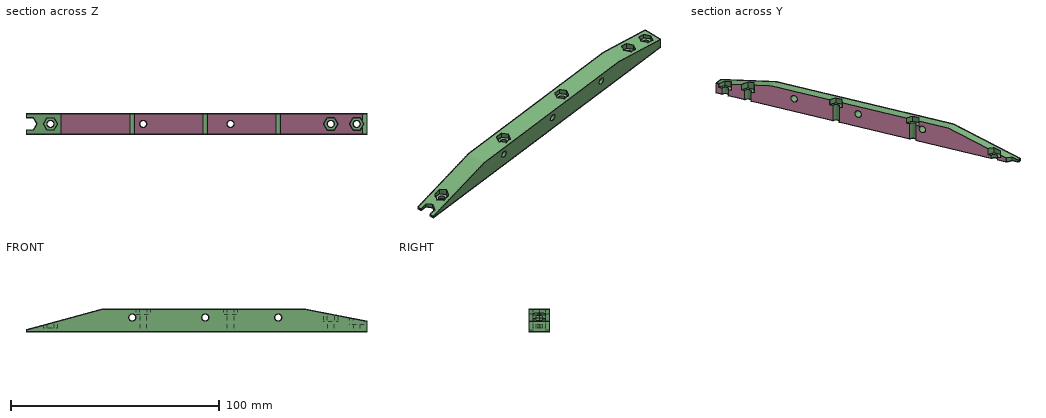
import cadquery as cq
import math

length = 163.7
width = 10.0
height = 11.0
left_end_height = 1.0
right_end_height = 5.0
left_slope_end = 36.7
right_slope_start = 133.5

hole_diameter = 3.3
nut_across_flats = 5.9
nut_across_corners = nut_across_flats / math.cos(math.pi / 6)
screw_places = [(11.6, 1.8), (56.1, 8.3), (98.0, 8.3), (146.2, 5.0), (158.6, 3.5)]

notch_width = 5.7
notch_depth = 5.0
notch_point_length = notch_width / 2 * math.tan(math.pi / 6)

cross_hole_middle = 86.0
cross_hole_pitch = 35.0
cross_hole_height = 6.9


def tapered_bar():
    outline = [
        (0, 0),
        (length, 0),
        (length, right_end_height),
        (right_slope_start, height),
        (left_slope_end, height),
        (0, left_end_height),
    ]
    return cq.Workplane("XZ").polyline(outline).close().extrude(width / 2, both=True)


def screw_hole(x, floor):
    hole = cq.Workplane("XY").center(x, 0).circle(hole_diameter / 2).extrude(height)
    pocket = (
        cq.Workplane("XY", origin=(x, 0, floor))
        .polygon(6, nut_across_corners)
        .extrude(height - floor)
    )
    return hole.union(pocket)


def tip_notch():
    half = notch_width / 2
    shoulder = notch_depth - notch_point_length
    outline = [(0, -half), (shoulder, -half), (notch_depth, 0), (shoulder, half), (0, half)]
    return cq.Workplane("XY").polyline(outline).close().extrude(height)


def cross_hole(x):
    return (
        cq.Workplane("XZ", origin=(x, 0, cross_hole_height))
        .circle(hole_diameter / 2)
        .extrude(width / 2, both=True)
    )


result = tapered_bar().cut(tip_notch())
for screw_x, pocket_floor in screw_places:
    result = result.cut(screw_hole(screw_x, pocket_floor))
for step in (-1, 0, 1):
    result = result.cut(cross_hole(cross_hole_middle + step * cross_hole_pitch))